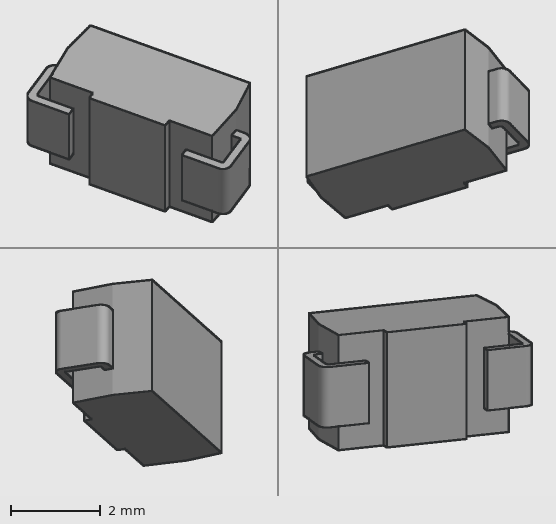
import cadquery as cq

overall_length = 5.09
overall_depth = 2.17
body_height = 2.67

back_width = 4.01
waist_width = 4.245
front_width = 4.075
pad_root_width = 1.925
pad_face_width = 1.905
waist_y = 1.27
front_y = 0.27
pad_y = 0.085

lead_height = 1.4
lead_thickness = 0.205
lead_foot_length = 1.13
outer_bend_radius = 0.205
left_inner_bend_radius = 0.075
right_inner_bend_radius = 0.02
lead_embed = 0.205


def make_body():
    """Tapered moulded block with a raised pad on its front face."""
    right_side = [
        (back_width / 2, overall_depth),
        (waist_width / 2, waist_y),
        (front_width / 2, front_y),
        (pad_root_width / 2, front_y),
        (pad_face_width / 2, pad_y),
    ]
    left_side = [(-x, y) for x, y in reversed(right_side)]
    outline = cq.Workplane("XY").polyline(right_side + left_side).close()
    return outline.extrude(body_height / 2, both=True)


def make_lead(inner_bend_radius):
    """C-shaped strip on the +X end, from the body waist to the mounting plane."""
    outer_x = overall_length / 2
    inner_x = outer_x - lead_thickness
    top_inner_y = waist_y - lead_thickness
    foot_x = outer_x - lead_foot_length
    buried_x = waist_width / 2 - lead_embed

    outer = (
        cq.Workplane("XY")
        .moveTo(foot_x, 0)
        .lineTo(outer_x, 0)
        .lineTo(outer_x, waist_y)
        .lineTo(buried_x, waist_y)
        .lineTo(buried_x, top_inner_y)
        .lineTo(inner_x, top_inner_y)
        .lineTo(inner_x, lead_thickness)
        .lineTo(foot_x, lead_thickness)
        .close()
        .extrude(lead_height / 2, both=True)
    )
    rounded = outer.edges("|Z and >X").fillet(outer_bend_radius)
    inner_corners = cq.selectors.BoxSelector(
        (inner_x - lead_thickness / 4, lead_thickness / 2, -body_height),
        (inner_x + lead_thickness / 4, waist_y - lead_thickness / 2, body_height),
    )
    return rounded.edges("|Z").edges(inner_corners).fillet(inner_bend_radius)


right_lead = make_lead(right_inner_bend_radius)
left_lead = make_lead(left_inner_bend_radius).mirror("YZ")
result = make_body().union(right_lead).union(left_lead)